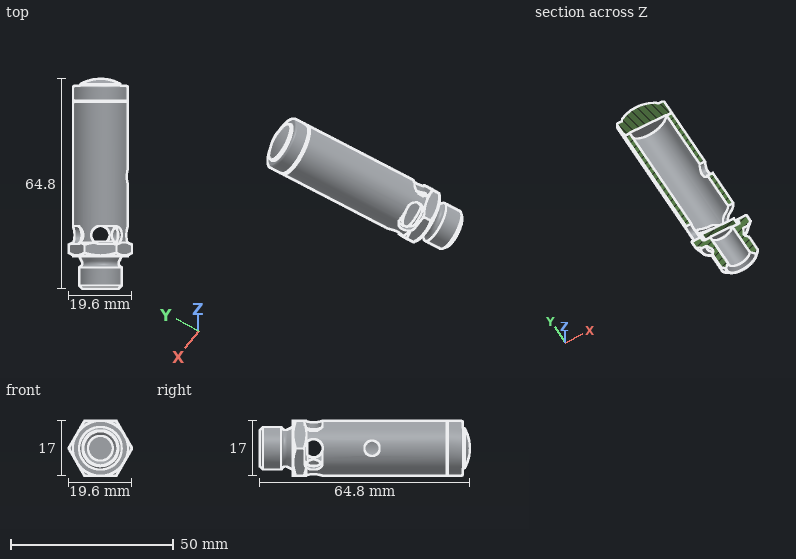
import cadquery as cq
import math

LENGTH = 64.8
Y_END = -LENGTH / 2

GROOVE_START = 6.6
GROOVE_CONE_START = 8.5
HEX_BOTTOM = 10.05
HEX_TOP = 14.4
SLEEVE_TOP = 57.5
CAP_BOTTOM = 58.05
CAP_TOP = 62.6

THREAD_R = 6.575
THREAD_CHAMFER = 1.05
UNDERCUT_R = 5.65
UNDERCUT_LEAD = 0.6
UNDERCUT_EDGE_R = 5.9
UNDERCUT_CONE_R = 5.75
INLET_R = 3.8
INLET_MOUTH_R = 5.25
INLET_CONE_LENGTH = 1.4

HEX_FLATS = 17.0
HEX_CORNER_R = HEX_FLATS / math.sqrt(3)
SLEEVE_R = HEX_FLATS / 2
WASHER_HEIGHT = 0.3
HEX_CHAMFER = (HEX_CORNER_R - SLEEVE_R) * math.tan(math.radians(30))

CHAMBER_R = 6.5
SEAT = 12.3
SLOT_COUNT = 4
SLOT_WIDTH = 5.6
SLOT_CENTRE = 16.6
SLOT_SWEEP = 32.0
SIDE_HOLE_R = 2.365
SIDE_HOLE_CENTRE = 34.6

JOINT_R = SLEEVE_R - 0.2
CAP_EDGE_RADIUS = 0.65
DOME_R = 6.1
DOME_START = 63.15
DOME_FOOT_R = 6.35

DISC_R = 5.8
DISC_TOP = 14.65


def revolve_about_axis(outline):
    """Revolve a closed outline of (radius, station) about the valve axis."""
    return outline.close().revolve(360, (0, 0, 0), (0, 1, 0)).translate((0, Y_END, 0))


def cylinder(radius, start, end):
    """Round bar on the valve axis between two stations."""
    return revolve_about_axis(cq.Workplane("XY").moveTo(0, start).lineTo(radius, start)
                              .lineTo(radius, end).lineTo(0, end))


def make_inlet():
    undercut_middle = (GROOVE_START + UNDERCUT_LEAD + GROOVE_CONE_START) / 2
    return revolve_about_axis(
        cq.Workplane("XY")
        .lineTo(THREAD_R - THREAD_CHAMFER, 0)
        .lineTo(THREAD_R, THREAD_CHAMFER)
        .lineTo(THREAD_R, GROOVE_START)
        .lineTo(UNDERCUT_EDGE_R, GROOVE_START + UNDERCUT_LEAD)
        .threePointArc((UNDERCUT_R, undercut_middle), (UNDERCUT_CONE_R, GROOVE_CONE_START))
        .lineTo(THREAD_R, HEX_BOTTOM)
        .lineTo(0, HEX_BOTTOM)
    )


def make_hexagon():
    prism = (
        cq.Workplane("XZ", origin=(0, Y_END + HEX_BOTTOM, 0))
        .polygon(6, 2 * HEX_CORNER_R)
        .extrude(-(HEX_TOP - HEX_BOTTOM))
    )
    chamfer_bottom = HEX_BOTTOM + WASHER_HEIGHT
    envelope = revolve_about_axis(
        cq.Workplane("XY")
        .moveTo(0, HEX_BOTTOM)
        .lineTo(SLEEVE_R, HEX_BOTTOM)
        .lineTo(SLEEVE_R, chamfer_bottom)
        .lineTo(HEX_CORNER_R, chamfer_bottom + HEX_CHAMFER)
        .lineTo(HEX_CORNER_R, HEX_TOP - HEX_CHAMFER)
        .lineTo(SLEEVE_R, HEX_TOP)
        .lineTo(0, HEX_TOP)
    )
    return prism.intersect(envelope)


def make_inlet_bore():
    return revolve_about_axis(
        cq.Workplane("XY")
        .lineTo(INLET_MOUTH_R, 0)
        .lineTo(INLET_R, INLET_CONE_LENGTH)
        .lineTo(INLET_R, SEAT)
        .lineTo(0, SEAT)
    )


def make_outlet_slot(start_angle):
    """Cutter for a slot swept about the axis; angles are measured from +Z toward +X."""
    end_hole = (
        cq.Workplane("XY", origin=(0, Y_END + SLOT_CENTRE, 0))
        .circle(SLOT_WIDTH / 2)
        .extrude(HEX_CORNER_R)
    )
    far_hole = end_hole.rotate((0, 0, 0), (0, 1, 0), SLOT_SWEEP)
    sector = (
        cq.Workplane("ZY", origin=(0, Y_END + SLOT_CENTRE, 0))
        .center(HEX_CORNER_R / 2, 0)
        .rect(HEX_CORNER_R, SLOT_WIDTH)
        .revolve(SLOT_SWEEP, (-HEX_CORNER_R / 2, 0), (-HEX_CORNER_R / 2, 1))
    )
    return end_hole.union(far_hole).union(sector).rotate((0, 0, 0), (0, 1, 0), start_angle)


def make_side_hole():
    return (
        cq.Workplane("YZ")
        .center(Y_END + SIDE_HOLE_CENTRE, 0)
        .circle(SIDE_HOLE_R)
        .extrude(HEX_CORNER_R)
    )


def make_housing():
    housing = make_inlet().union(make_hexagon()).union(cylinder(SLEEVE_R, HEX_TOP, SLEEVE_TOP))
    housing = housing.cut(make_inlet_bore()).cut(cylinder(CHAMBER_R, SEAT, SLEEVE_TOP))
    for index in range(SLOT_COUNT):
        housing = housing.cut(make_outlet_slot(index * 360 / SLOT_COUNT))
    return housing.cut(make_side_hole())


def make_cap():
    dome_height = LENGTH - DOME_START
    sphere_r = (DOME_R**2 + dome_height**2) / (2 * dome_height)
    half_angle = math.asin(DOME_R / sphere_r) / 2
    dome_middle = (
        sphere_r * math.sin(half_angle),
        LENGTH - sphere_r * (1 - math.cos(half_angle)),
    )
    joint = cylinder(JOINT_R, SLEEVE_TOP, CAP_BOTTOM)
    flange = cylinder(SLEEVE_R, CAP_BOTTOM, CAP_TOP).faces(">Y").edges().fillet(CAP_EDGE_RADIUS)
    dome = revolve_about_axis(
        cq.Workplane("XY")
        .moveTo(0, CAP_TOP)
        .lineTo(DOME_FOOT_R, CAP_TOP)
        .lineTo(DOME_R, DOME_START)
        .threePointArc(dome_middle, (0, LENGTH))
    )
    return joint.union(flange).union(dome)


housing = make_housing()
cap = make_cap()
valve_disc = cylinder(DISC_R, SEAT, DISC_TOP)

result = cq.Compound.makeCompound([housing.val(), cap.val(), valve_disc.val()])